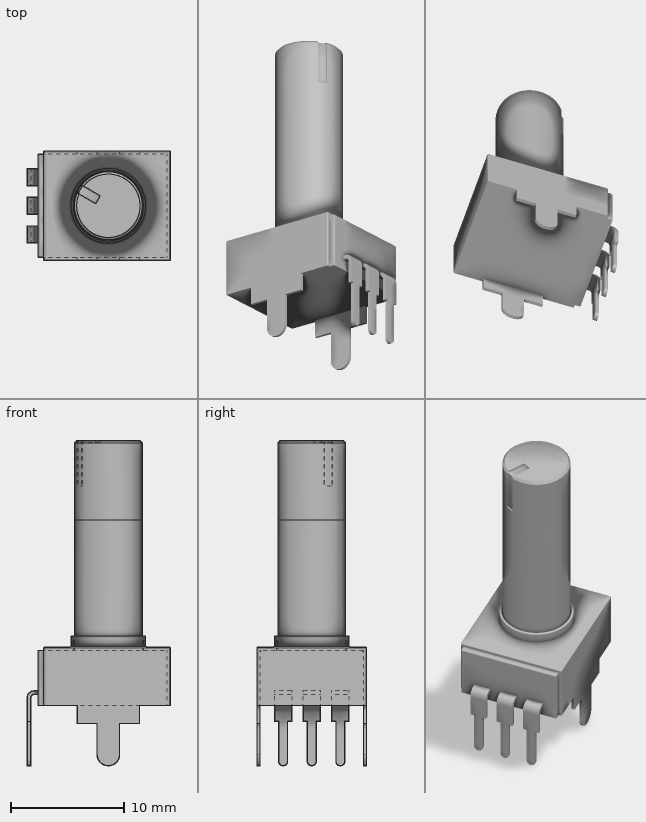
import cadquery as cq
import math


EDGE_RADIUS = 0.1

SHEET = 0.3
HOUSING_LEFT = -5.7
HOUSING_RIGHT = 5.48
HOUSING_WIDTH = 9.7
HOUSING_HEIGHT = 5.17
COLLAR_DIAMETER = 6.6
COLLAR_TOP = 6.17
SHOULDER_WIDTH = 5.5
SHOULDER_DROP = 1.58
LEG_WIDTH = 2.0
LEG_DROP = 5.3

BASE_LEFT = -6.23

SHAFT_DIAMETER = 6.0
SHAFT_CLEARANCE = 0.1
SHAFT_TOP = 23.4
SHAFT_END_LENGTH = 7.0
SHAFT_CHAMFER = 0.2
MARK_ANGLE = 150
MARK_WIDTH = 0.8
MARK_LENGTH = 4.0
MARK_INNER_RADIUS = 1.05
MARK_DEPTH = 0.15

TERMINAL_COUNT = 3
TERMINAL_PITCH = 2.53
TERMINAL_LEFT = -7.18
TERMINAL_TOP = 1.32
TERMINAL_THICKNESS = 0.35
TERMINAL_BEND_RADIUS = 0.63
TERMINAL_WIDTH = 1.52
PIN_WIDTH = 0.8
PIN_LENGTH = 3.93

CAVITY_RIGHT = HOUSING_RIGHT - SHEET
CAVITY_WIDTH = HOUSING_WIDTH - 2 * SHEET
CAVITY_HEIGHT = HOUSING_HEIGHT - SHEET
SHAFT_RADIUS = SHAFT_DIAMETER / 2
BORE_DIAMETER = SHAFT_DIAMETER + 2 * SHAFT_CLEARANCE
SHAFT_END_BOTTOM = SHAFT_TOP - SHAFT_END_LENGTH


def block(x_min, x_max, width, height):
    """Box standing on Z = 0 and centred on Y = 0."""
    box = cq.Workplane("XY").box(x_max - x_min, width, height, centered=(False, True, False))
    return box.translate((x_min, 0, 0))


def cylinder(diameter, bottom, top):
    return cq.Workplane("XY").workplane(offset=bottom).circle(diameter / 2).extrude(top - bottom)


def leg_outline():
    """Stepped leg with a round tip, in the XZ plane."""
    tip_centre = -LEG_DROP + LEG_WIDTH / 2
    return (
        cq.Workplane("XZ")
        .moveTo(-SHOULDER_WIDTH / 2, SHEET)
        .lineTo(-SHOULDER_WIDTH / 2, -SHOULDER_DROP)
        .lineTo(-LEG_WIDTH / 2, -SHOULDER_DROP)
        .lineTo(-LEG_WIDTH / 2, tip_centre)
        .threePointArc((0, -LEG_DROP), (LEG_WIDTH / 2, tip_centre))
        .lineTo(LEG_WIDTH / 2, -SHOULDER_DROP)
        .lineTo(SHOULDER_WIDTH / 2, -SHOULDER_DROP)
        .lineTo(SHOULDER_WIDTH / 2, SHEET)
        .close()
    )


def around_collar():
    """Selects what lies on the collar, leaving out the housing's own corners."""
    return cq.selectors.BoxSelector(
        (-COLLAR_DIAMETER / 2, -COLLAR_DIAMETER / 2, HOUSING_HEIGHT - EDGE_RADIUS),
        (COLLAR_DIAMETER / 2, COLLAR_DIAMETER / 2, COLLAR_TOP + EDGE_RADIUS),
    )


def make_housing():
    shell = block(HOUSING_LEFT, HOUSING_RIGHT, HOUSING_WIDTH, HOUSING_HEIGHT)
    shell = shell.edges("|Z or >Z").fillet(EDGE_RADIUS)
    shell = shell.union(cylinder(COLLAR_DIAMETER, HOUSING_HEIGHT, COLLAR_TOP))
    shell = shell.edges(around_collar()).edges("%CIRCLE").fillet(EDGE_RADIUS)
    shell = shell.cut(block(HOUSING_LEFT - SHEET, CAVITY_RIGHT, CAVITY_WIDTH, CAVITY_HEIGHT))
    shell = shell.cut(cylinder(BORE_DIAMETER, 0, COLLAR_TOP))
    leg = leg_outline().extrude(SHEET)
    for inner_y in (-CAVITY_WIDTH / 2, HOUSING_WIDTH / 2):
        shell = shell.union(leg.translate((0, inner_y, 0)))
    return shell


def make_base():
    """Block filling the housing, with the edges of its terminal face rounded except the lowest."""
    base = block(BASE_LEFT, CAVITY_RIGHT, CAVITY_WIDTH, CAVITY_HEIGHT)
    return base.faces("<X").edges("not <Z").fillet(EDGE_RADIUS)


def make_shaft():
    """Lower length of the shaft, standing on the base."""
    return cylinder(SHAFT_DIAMETER, CAVITY_HEIGHT, SHAFT_END_BOTTOM)


def mark_cutter(inner_radius, height):
    """Bar pointing outward from the shaft axis, reaching down by its height from the shaft top."""
    bar = block(inner_radius, SHAFT_DIAMETER, MARK_WIDTH, height).translate((0, 0, SHAFT_TOP - height))
    return bar.rotate((0, 0, 0), (0, 0, 1), MARK_ANGLE)


def make_shaft_end():
    """Upper length of the shaft, with the pointer mark recessed into its top and its side."""
    end = cylinder(SHAFT_DIAMETER, SHAFT_END_BOTTOM, SHAFT_TOP)
    end = end.faces(">Z").edges().chamfer(SHAFT_CHAMFER)
    end = end.cut(mark_cutter(MARK_INNER_RADIUS, MARK_DEPTH))
    return end.cut(mark_cutter(SHAFT_RADIUS - MARK_DEPTH, MARK_LENGTH))


def bent_strip():
    """Flat strip that leaves the base, bends down and runs to the tip; TERMINAL_WIDTH wide."""
    bend_x = TERMINAL_LEFT + TERMINAL_BEND_RADIUS
    bend_z = TERMINAL_TOP - TERMINAL_BEND_RADIUS
    inner_radius = TERMINAL_BEND_RADIUS - TERMINAL_THICKNESS
    inner_x = TERMINAL_LEFT + TERMINAL_THICKNESS
    inner_z = TERMINAL_TOP - TERMINAL_THICKNESS
    outer_mid = TERMINAL_BEND_RADIUS * math.sqrt(0.5)
    inner_mid = inner_radius * math.sqrt(0.5)
    return (
        cq.Workplane("XZ")
        .moveTo(BASE_LEFT, TERMINAL_TOP)
        .lineTo(bend_x, TERMINAL_TOP)
        .threePointArc((bend_x - outer_mid, bend_z + outer_mid), (TERMINAL_LEFT, bend_z))
        .lineTo(TERMINAL_LEFT, -LEG_DROP)
        .lineTo(inner_x, -LEG_DROP)
        .lineTo(inner_x, bend_z)
        .threePointArc((bend_x - inner_mid, bend_z + inner_mid), (bend_x, inner_z))
        .lineTo(BASE_LEFT, inner_z)
        .close()
        .extrude(TERMINAL_WIDTH / 2, both=True)
    )


def terminal_outline():
    """Wide tab narrowing to a round-tipped pin, in the YZ plane at the outer terminal face."""
    pin_top = PIN_LENGTH - LEG_DROP
    tip_centre = PIN_WIDTH / 2 - LEG_DROP
    return (
        cq.Workplane("YZ", origin=(TERMINAL_LEFT, 0, 0))
        .moveTo(-TERMINAL_WIDTH / 2, TERMINAL_TOP)
        .lineTo(-TERMINAL_WIDTH / 2, pin_top)
        .lineTo(-PIN_WIDTH / 2, pin_top)
        .lineTo(-PIN_WIDTH / 2, tip_centre)
        .threePointArc((0, -LEG_DROP), (PIN_WIDTH / 2, tip_centre))
        .lineTo(PIN_WIDTH / 2, pin_top)
        .lineTo(TERMINAL_WIDTH / 2, pin_top)
        .lineTo(TERMINAL_WIDTH / 2, TERMINAL_TOP)
        .close()
    )


def make_terminal(y):
    outline = terminal_outline().extrude(BASE_LEFT - TERMINAL_LEFT)
    return bent_strip().intersect(outline).translate((0, y, 0))


housing = make_housing()
base = make_base()
shaft = make_shaft()
shaft_end = make_shaft_end()
terminals = []
first_terminal_y = -(TERMINAL_COUNT - 1) * TERMINAL_PITCH / 2
for i in range(TERMINAL_COUNT):
    terminals.append(make_terminal(first_terminal_y + i * TERMINAL_PITCH).val())

result = cq.Compound.makeCompound(
    [housing.val(), base.val(), shaft.val(), shaft_end.val(), *terminals]
)